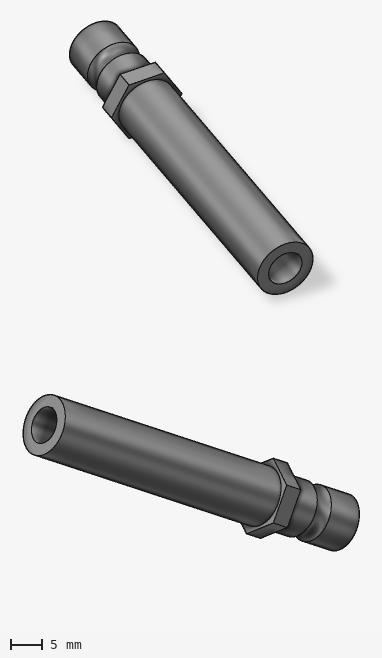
import cadquery as cq
import math

total_length = 63.0
spigot_diameter = 9.4
tube_diameter = 10.0
bore_diameter = 6.0

groove_start = 6.0
groove_width = 3.0
groove_arc_radius = 2.0

hex_start = 14.0
hex_thickness = 3.0
hex_across_flats = 11.0

hex_across_corners = hex_across_flats / math.cos(math.radians(30))
spigot_radius = spigot_diameter / 2
tube_radius = tube_diameter / 2
groove_half_width = groove_width / 2
groove_depth = groove_arc_radius - math.sqrt(groove_arc_radius**2 - groove_half_width**2)


def make_turned_body():
    """Grooved spigot and long tube, as one revolved half profile."""
    groove_middle = (groove_start + groove_half_width, spigot_radius - groove_depth)
    groove_far_edge = (groove_start + groove_width, spigot_radius)
    profile = (
        cq.Workplane("XY")
        .moveTo(0, 0)
        .lineTo(0, spigot_radius)
        .lineTo(groove_start, spigot_radius)
        .threePointArc(groove_middle, groove_far_edge)
        .lineTo(hex_start, spigot_radius)
        .lineTo(hex_start, tube_radius)
        .lineTo(total_length, tube_radius)
        .lineTo(total_length, 0)
        .close()
    )
    return profile.revolve(360, (0, 0, 0), (1, 0, 0))


def make_hex_collar():
    """Wrench collar with two corners on the Y axis and flats facing +Z and -Z."""
    return (
        cq.Workplane("YZ", origin=(hex_start, 0, 0))
        .polygon(6, hex_across_corners)
        .extrude(hex_thickness)
    )


def make_bore():
    """Straight bore through the full length."""
    return cq.Workplane("YZ").circle(bore_diameter / 2).extrude(total_length)


result = make_turned_body().union(make_hex_collar()).cut(make_bore())